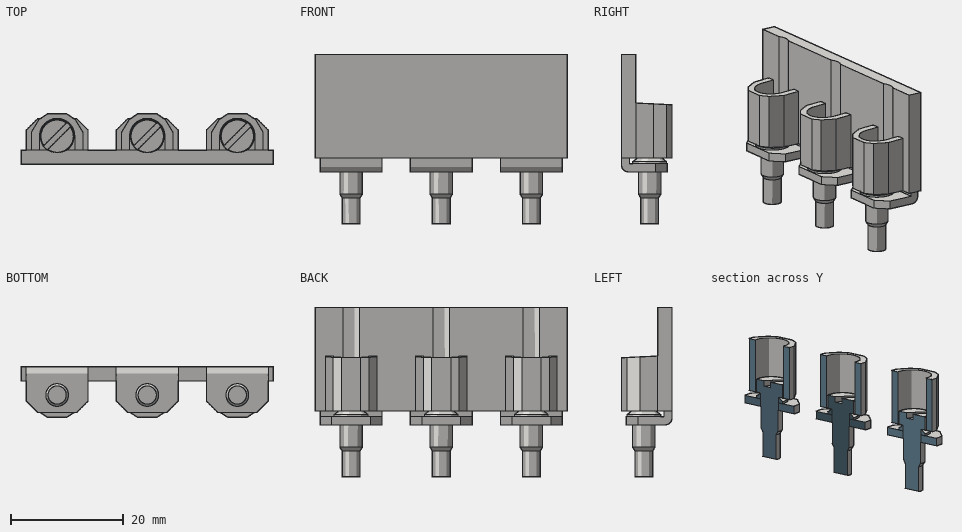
import cadquery as cq


pitch = 16.0
station_xs = [-pitch, 0, pitch]
axis_y = 5.0

plate_length = 44.8
plate_thickness = 2.55
plate_height = 18.4
tower_depth_y = 9.0
tower_half_width = 4.55
tower_shoulder_half_width = 3.2
tower_back_half_width = 1.7
tower_side_end_y = 5.75
tower_shoulder_y = 8.0
tower_plate_height = 9.8
tower_back_height = 9.5
bore_radius = 3.15

head_radius = 3.0
head_height = 2.5
head_chamfer = 0.15
head_top_radius = head_radius - head_chamfer
slot_width = 1.0
slot_depth = 1.0
slot_angle = 45
shank_radius = 2.0
tip_radius = 1.6
neck_height = 0.65
tip_length = 4.6
screw_bottom_z = -11.65

washer_radius = 3.0
washer_top_radius = 2.25
washer_height = 1.0
washer_rim_height = 0.35

bracket_width = 11.0
bracket_depth = 8.15
bracket_thickness = 1.5
bracket_bend_radius = 1.25
bracket_corner_chamfer = 2.05
bracket_top_z = -washer_height
bracket_bottom_z = bracket_top_z - bracket_thickness


def tower(x):
    """Faceted block behind the plate, with a top that slopes down to the back."""
    outline = [
        (tower_half_width, 0),
        (tower_half_width, tower_side_end_y),
        (tower_shoulder_half_width, tower_shoulder_y),
        (tower_back_half_width, tower_depth_y),
    ]
    mirrored = [(-px, py) for px, py in reversed(outline)]
    body = cq.Workplane("XY").polyline(outline + mirrored).close().extrude(tower_plate_height)
    sloped_side = (
        cq.Workplane("YZ")
        .polyline([
            (0, 0),
            (0, tower_plate_height),
            (plate_thickness, tower_plate_height),
            (tower_depth_y, tower_back_height),
            (tower_depth_y, 0),
        ])
        .close()
        .extrude(tower_half_width, both=True)
    )
    return body.intersect(sloped_side).translate((x, 0, 0))


def tower_bore(x):
    """Round bore in a tower that runs out straight-sided to the plate."""
    round_end = cq.Workplane("XY").center(x, axis_y).circle(bore_radius).extrude(plate_height)
    straight_run = (
        cq.Workplane("XY")
        .center(x, (plate_thickness + axis_y) / 2)
        .rect(2 * bore_radius, axis_y - plate_thickness)
        .extrude(plate_height)
    )
    behind_plate = (
        cq.Workplane("XY")
        .center(x, (plate_thickness + tower_depth_y) / 2)
        .rect(2 * bore_radius, tower_depth_y - plate_thickness)
        .extrude(plate_height)
    )
    return round_end.union(straight_run).intersect(behind_plate)


def head_clearance(x):
    """Pocket fitting the screw head, continued upward as a narrower groove in the plate."""
    pocket = cq.Workplane("XY").center(x, axis_y).circle(head_radius).extrude(head_height)
    groove = cq.Workplane("XY").center(x, axis_y).circle(head_top_radius).extrude(plate_height)
    return pocket.union(groove)


def make_housing():
    body = cq.Workplane("XY").box(
        plate_length, plate_thickness, plate_height, centered=(True, False, False)
    )
    for x in station_xs:
        body = body.union(tower(x))
    for x in station_xs:
        body = body.cut(tower_bore(x)).cut(head_clearance(x))
    return body


def make_bracket(x):
    """L-shaped bracket: a short leg under the plate and a flat foot with the screw hole."""
    profile = [
        (0, 0),
        (bracket_thickness, 0),
        (bracket_thickness, bracket_top_z),
        (bracket_depth, bracket_top_z),
        (bracket_depth, bracket_bottom_z),
        (0, bracket_bottom_z),
    ]
    body = cq.Workplane("YZ").polyline(profile).close().extrude(bracket_width / 2, both=True)
    body = body.edges("|X and <Y and <Z").fillet(bracket_bend_radius)
    body = body.edges("|Z and >Y").chamfer(bracket_corner_chamfer)
    hole = (
        cq.Workplane("XY", origin=(0, axis_y, bracket_bottom_z))
        .circle(shank_radius)
        .extrude(bracket_thickness)
    )
    return body.cut(hole).translate((x, 0, 0))


def make_washer(x):
    """Conical washer between the bracket foot and the screw head."""
    profile = [
        (shank_radius, -washer_height),
        (washer_radius, -washer_height),
        (washer_radius, washer_rim_height - washer_height),
        (washer_top_radius, 0),
        (shank_radius, 0),
    ]
    body = cq.Workplane("XZ").polyline(profile).close().revolve(360, (0, 0), (0, 1))
    return body.translate((x, axis_y, 0))


def make_screw(x):
    """Slotted screw whose shank steps down through a cone to a thinner tip."""
    tip_top_z = screw_bottom_z + tip_length
    profile = [
        (0, screw_bottom_z),
        (tip_radius, screw_bottom_z),
        (tip_radius, tip_top_z),
        (shank_radius, tip_top_z + neck_height),
        (shank_radius, 0),
        (head_radius, 0),
        (head_radius, head_height - head_chamfer),
        (head_top_radius, head_height),
        (0, head_height),
    ]
    body = cq.Workplane("XZ").polyline(profile).close().revolve(360, (0, 0), (0, 1))
    slot = (
        cq.Workplane("XY", origin=(0, 0, head_height - slot_depth))
        .transformed(rotate=(0, 0, slot_angle))
        .rect(2 * head_radius, slot_width)
        .extrude(slot_depth)
    )
    return body.cut(slot).translate((x, axis_y, 0))


housing = make_housing()
brackets = [make_bracket(x) for x in station_xs]
washers = [make_washer(x) for x in station_xs]
screws = [make_screw(x) for x in station_xs]

result = cq.Compound.makeCompound(
    [housing.val()] + [body.val() for body in brackets + washers + screws]
)